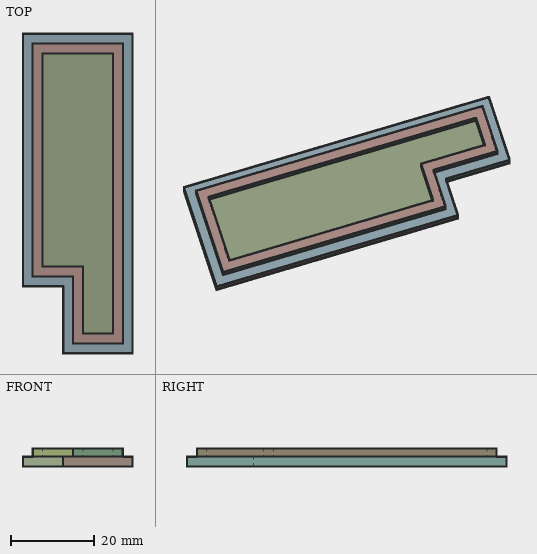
import cadquery as cq

length = 76.8
width = 26.4
notch_width = 9.7
notch_length = 16.05

base_height = 2.4
rim_height = 2.0

rim_inset = 2.4
rim_thickness = 2.4


def notched_tier(inset, bottom, height):
    """Solid with the notched outline moved inward by inset on every side."""
    left = -width / 2 + inset
    right = width / 2 - inset
    front = -length / 2 + inset
    back = length / 2 - inset
    notch_x = left + notch_width
    notch_y = front + notch_length
    return (
        cq.Workplane("XY")
        .workplane(offset=bottom)
        .moveTo(left, notch_y)
        .lineTo(notch_x, notch_y)
        .lineTo(notch_x, front)
        .lineTo(right, front)
        .lineTo(right, back)
        .lineTo(left, back)
        .close()
        .extrude(height)
    )


base = notched_tier(0, 0, base_height)
rim = notched_tier(rim_inset, base_height, rim_height)

pocket = notched_tier(rim_inset + rim_thickness, base_height, rim_height)

result = base.union(rim.cut(pocket))